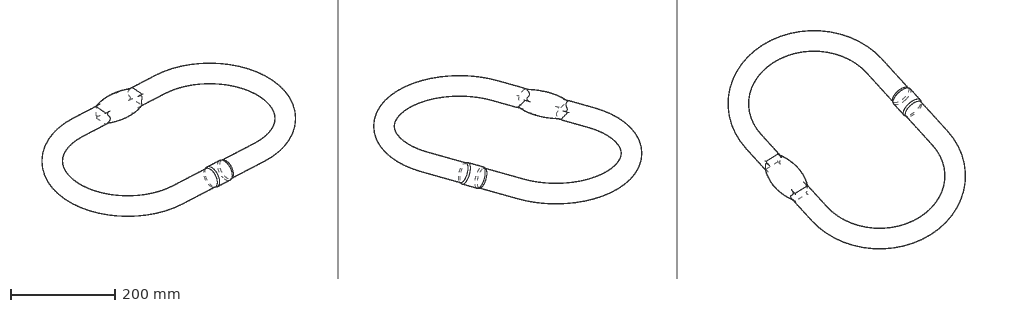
import cadquery as cq

length = 539.0
wire_diameter = 40.0
straight_length = 209.0
wire_radius = wire_diameter / 2
bend_radius = (length - wire_diameter - straight_length) / 2

sleeve_diameter = 43.0
sleeve_length = 41.0
sleeve_flat_length = 32.5

grip_thickness = 27.0
grip_flat_length = 93.0
grip_cut_length = 111.0
grip_half_width = 28.0
grip_side_radius = 101.0
grip_edge_round = 6.5
grip_cut_round = 2.5


def make_ring():
    half = straight_length / 2
    path = (
        cq.Workplane("XY")
        .moveTo(bend_radius, -half)
        .lineTo(bend_radius, half)
        .threePointArc((0, half + bend_radius), (-bend_radius, half))
        .lineTo(-bend_radius, -half)
        .threePointArc((0, -half - bend_radius), (bend_radius, -half))
        .close()
    )
    section = cq.Workplane("XZ", origin=(bend_radius, -half, 0)).circle(wire_radius)
    return section.sweep(path)


def make_sleeve():
    """Sleeve that tapers down to the wire at both ends."""
    half = sleeve_length / 2
    half_flat = sleeve_flat_length / 2
    profile = (
        cq.Workplane("XY", origin=(bend_radius, 0, 0))
        .moveTo(0, -half)
        .lineTo(wire_radius, -half)
        .lineTo(sleeve_diameter / 2, -half_flat)
        .lineTo(sleeve_diameter / 2, half_flat)
        .lineTo(wire_radius, half)
        .lineTo(0, half)
        .close()
    )
    return profile.revolve(360, (0, 0, 0), (0, 1, 0))


def make_flat_cut(side):
    """Trapezoidal cut with sloping ends, above (+1) or below (-1) the wire axis."""
    half_flat = grip_flat_length / 2
    half_cut = grip_cut_length / 2
    bottom = side * grip_thickness / 2
    top = side * wire_radius
    profile = cq.Workplane("YZ", origin=(-bend_radius, 0, 0)).polyline(
        [(-half_flat, bottom), (half_flat, bottom), (half_cut, top), (-half_cut, top)]
    )
    return profile.close().extrude(wire_radius, both=True)


def make_grip():
    """Plate with bowed sides and rounded long edges."""
    half = grip_flat_length / 2
    bow = grip_side_radius - (grip_side_radius**2 - half**2) ** 0.5
    end_half_width = grip_half_width - bow
    plate = (
        cq.Workplane("XY", origin=(-bend_radius, 0, -grip_thickness / 2))
        .moveTo(end_half_width, -half)
        .threePointArc((grip_half_width, 0), (end_half_width, half))
        .lineTo(-end_half_width, half)
        .threePointArc((-grip_half_width, 0), (-end_half_width, -half))
        .close()
        .extrude(grip_thickness)
    )
    return plate.edges("%CIRCLE").fillet(grip_edge_round)


result = make_ring().union(make_sleeve())
for side in (1, -1):
    result = result.cut(make_flat_cut(side))
result = result.edges("%ELLIPSE").fillet(grip_cut_round)
result = result.union(make_grip())